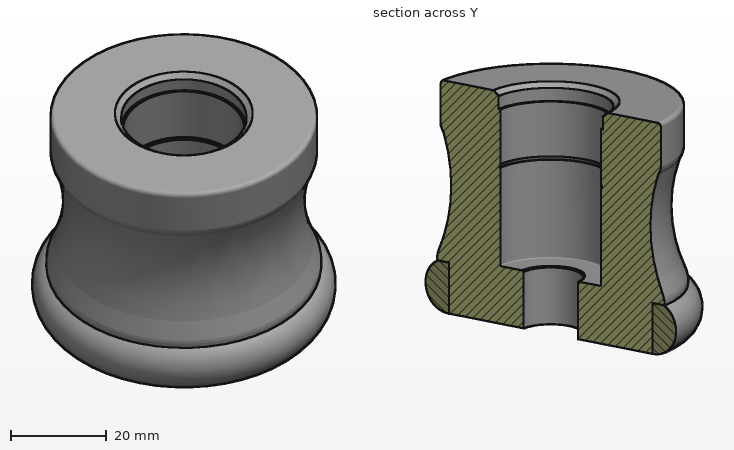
import cadquery as cq
import math

bead_diameter = 63.5
bead_section_radius = 5.95
bead_outer_radius = bead_diameter / 2
bead_inner_radius = bead_outer_radius - bead_section_radius

height = 50.8
collar_radius = 28.75
collar_top = 12.5
head_radius = 27.9
head_bottom = 40.75
head_edge_radius = 0.95
flare_blend_radius = 2.0
waist_radius = 25.25
waist_height = 28.0
waist_curve_radius = 34.5
waist_end_angle = math.radians(19.0)

seat_reach = collar_radius - bead_inner_radius
seat_height = bead_section_radius + math.sqrt(bead_section_radius**2 - seat_reach**2)

mouth_radius = 14.4
mouth_depth = 1.05
counterbore_radius = 13.1
counterbore_depth = 3.9
bore_radius = 12.65
bore_depth = 38.1
bore_corner_radius = 0.22
through_radius = 6.85
through_chamfer = 0.28

groove_bottom_depth = 16.6
groove_height = 0.75
groove_width = 0.25


def revolve_about_z(profile):
    return profile.revolve(360, (0, 0, 0), (0, 1, 0))


def ring_at(z):
    """Select the circular edges lying at height z."""
    reach = bead_diameter
    margin = 0.01
    return cq.selectors.BoxSelector(
        (-reach, -reach, z - margin), (reach, reach, z + margin), boundingbox=True
    )


def make_outside():
    waist_half_height = waist_curve_radius * math.sin(waist_end_angle)
    waist_end_radius = waist_radius + waist_curve_radius * (1 - math.cos(waist_end_angle))
    profile = (
        cq.Workplane("XZ")
        .lineTo(bead_inner_radius, 0)
        .lineTo(bead_inner_radius, seat_height)
        .lineTo(collar_radius, seat_height)
        .lineTo(collar_radius, collar_top)
        .lineTo(waist_end_radius, waist_height - waist_half_height)
        .threePointArc((waist_radius, waist_height), (waist_end_radius, waist_height + waist_half_height))
        .lineTo(head_radius, head_bottom)
        .lineTo(head_radius, height)
        .lineTo(0, height)
        .close()
    )
    return (
        revolve_about_z(profile)
        .edges(ring_at(head_bottom)).fillet(flare_blend_radius)
        .edges(ring_at(collar_top)).fillet(flare_blend_radius)
        .faces(">Z").edges().fillet(head_edge_radius)
    )


def make_bore():
    """Solid filling the stepped bore, to be cut from the housing."""
    floor = height - bore_depth
    groove_bottom = height - groove_bottom_depth
    counterbore_floor = height - counterbore_depth
    corner_inset = bore_corner_radius * (1 - math.sqrt(0.5))
    profile = (
        cq.Workplane("XZ")
        .lineTo(through_radius, 0)
        .lineTo(through_radius, floor - through_chamfer)
        .lineTo(through_radius + through_chamfer, floor)
        .lineTo(bore_radius - bore_corner_radius, floor)
        .threePointArc(
            (bore_radius - corner_inset, floor + corner_inset),
            (bore_radius, floor + bore_corner_radius),
        )
        .lineTo(bore_radius, groove_bottom)
        .lineTo(bore_radius + groove_width, groove_bottom)
        .lineTo(bore_radius, groove_bottom + groove_height)
        .lineTo(bore_radius, counterbore_floor)
        .lineTo(counterbore_radius, counterbore_floor)
        .lineTo(counterbore_radius, height - mouth_depth)
        .lineTo(mouth_radius, height)
        .lineTo(0, height)
        .close()
    )
    return revolve_about_z(profile)


def make_housing():
    return make_outside().cut(make_bore())


def make_bumper_ring():
    profile = (
        cq.Workplane("XZ")
        .moveTo(bead_inner_radius, 0)
        .threePointArc((bead_outer_radius, bead_section_radius), (collar_radius, seat_height))
        .lineTo(bead_inner_radius, seat_height)
        .close()
    )
    return revolve_about_z(profile)


housing = make_housing()
bumper_ring = make_bumper_ring()
result = cq.Compound.makeCompound([housing.val(), bumper_ring.val()])